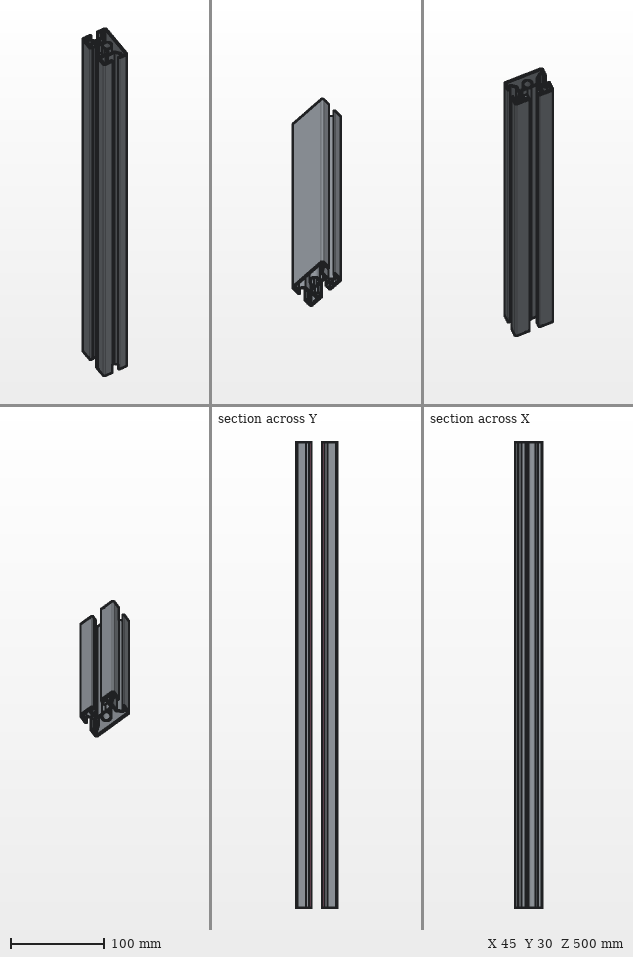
import cadquery as cq

length = 500.0
width = 45.0
depth = 30.0
corner_radius = 2.0

outer_wall = 2.0
back_wall = 1.5
web = 1.5
lip_radius = 1.0

side_mouth_width = 8.0
side_slot_width = 16.5
side_floor_width = 8.5
side_floor_span = 26.0
side_shelf_length = 3.0
web_shelf_length = 3.5

front_mouth_width = 11.0
front_slot_width = 20.0
front_slot_depth = 13.0
front_lip_depth = 7.0
front_slot_chamfer = 1.5

lip_hole_radius = 1.75
lip_hole_depth = 2.5
slit_width = 0.5
slit_depth = 3.25

channel_y = 3.0
channel_radius = 5.5
bore_radius = 4.5

floor_groove_drop = 0.5
flank_rise = 1.0

corner_chamber_depth = 7.0
slot_side_web = 1.5

half_width = width / 2
front_y = -depth / 2
back_y = depth / 2
inner_side = half_width - outer_wall
inner_front = front_y + outer_wall
inner_back = back_y - back_wall

side_mouth = side_mouth_width / 2
side_slot = side_slot_width / 2
side_floor = side_floor_width / 2
side_floor_x = side_floor_span / 2
shelf_x = inner_side - side_shelf_length
web_shelf_x = inner_side - web_shelf_length
shelf_back = side_slot + web

front_mouth = front_mouth_width / 2
front_slot = front_slot_width / 2
front_floor = front_y + front_slot_depth
front_lip_top = front_y + front_lip_depth


def prism(points):
    """Extrude a closed outline over the whole length of the rail."""
    return cq.Workplane("XY").polyline(points).close().extrude(length)


def rod(x, y, radius):
    return cq.Workplane("XY").center(x, y).circle(radius).extrude(length)


def both_sides(solid):
    """Join a solid on the +X side with its mirror image."""
    return solid.union(solid.mirror("YZ"))


def symmetric_prism(half_outline):
    """Extrude an outline given by its +X half, mirrored about the YZ plane."""
    other_half = [(-x, y) for x, y in reversed(half_outline)]
    return prism(half_outline + other_half)


def bar():
    block = cq.Workplane("XY").rect(width, depth).extrude(length)
    return block.edges("|Z").fillet(corner_radius)


def side_slot_space():
    upper_half = [
        (half_width, side_mouth),
        (inner_side, side_mouth),
        (inner_side, side_slot),
        (shelf_x, side_slot),
        (side_floor_x, side_floor),
    ]
    lower_half = [(x, -y) for x, y in reversed(upper_half)]
    return prism(upper_half + lower_half)


def front_slot_space():
    return symmetric_prism([
        (front_mouth, front_y),
        (front_mouth, front_lip_top),
        (front_slot, front_lip_top),
        (front_slot, front_floor - front_slot_chamfer),
        (front_slot - front_slot_chamfer, front_floor),
    ])


def edge_through(x, y):
    """Selector for the lengthwise edge through one point of the section."""
    margin = 0.25
    return cq.selectors.BoxSelector(
        (x - margin, y - margin, 0),
        (x + margin, y + margin, length),
    )


def round_mouth_corners(rail):
    for sign in (-1, 1):
        corners = [
            (sign * front_mouth, front_y),
            (sign * half_width, side_mouth),
            (sign * half_width, -side_mouth),
        ]
        for x, y in corners:
            rail = rail.edges("|Z").edges(edge_through(x, y)).fillet(lip_radius)
    return rail


def back_chamber():
    """Large hollow behind the front slot, between the two side slots."""
    web_x = side_floor_x - web
    return symmetric_prism([
        (front_slot - front_slot_chamfer, front_floor + web),
        (web_x, front_floor - floor_groove_drop),
        (web_x, side_floor + flank_rise),
        (web_shelf_x, shelf_back),
        (inner_side, shelf_back),
        (inner_side, inner_back),
    ])


def corner_chamber():
    chamber_side = front_slot + slot_side_web
    chamber_top = inner_front + corner_chamber_depth
    return prism([
        (chamber_side, inner_front),
        (inner_side, inner_front),
        (inner_side, -shelf_back),
        (web_shelf_x, -shelf_back),
        (side_floor_x, chamber_top),
        (chamber_side, chamber_top),
    ])


def lip_keyhole():
    slit_y = front_y + slit_depth
    slit = prism([
        (front_mouth, slit_y - slit_width / 2),
        (front_slot, slit_y - slit_width / 2),
        (front_slot, slit_y + slit_width / 2),
        (front_mouth, slit_y + slit_width / 2),
    ])
    return slit.union(rod(front_slot, front_y + lip_hole_depth, lip_hole_radius))


slotted_bar = bar().cut(both_sides(side_slot_space())).cut(front_slot_space())

result = (
    round_mouth_corners(slotted_bar)
    .cut(back_chamber())
    .union(rod(0, channel_y, channel_radius))
    .cut(rod(0, channel_y, bore_radius))
    .cut(both_sides(corner_chamber()))
    .cut(both_sides(lip_keyhole()))
)